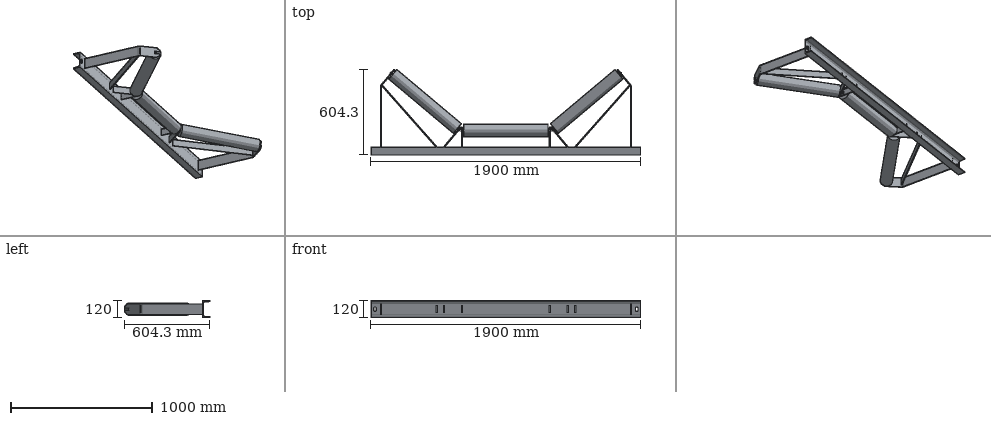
import cadquery as cq
import math


CHANNEL_LENGTH = 1900.0
CHANNEL_HEIGHT = 120.0
CHANNEL_DEPTH = 55.0
WEB_THICKNESS = 7.0
FLANGE_THICKNESS = 9.0
FLANGE_TAPER = 0.08
ROOT_RADIUS = 9.0
TOE_RADIUS = 4.5

SLOT_LENGTH = 30.0
SLOT_WIDTH = 17.0
SLOT_END_DISTANCE = 27.0

ROLLER_RADIUS = 44.6
ROLLER_LENGTH = 595.0
SHAFT_WIDTH = 17.0
SHAFT_HEIGHT = 11.0
SHAFT_OVERHANG = 4.0
CENTER_ROLLER_Y = 118.0
WING_X = 570.0
WING_Y = 323.0
WING_ANGLE = 40.0

BAR_THICKNESS = 8.0
POST_WIDTH = 76.0
INNER_BAR_WIDTH = 50.0
ROLLER_GAP = 8.5
POST_OUTER_X = 885.0
POST_BEND_RADIUS = 15.0
TAB_BEYOND_AXIS = 32.0
TAB_CHAMFER_LENGTH = 23.0
TAB_CHAMFER_WIDTH = 17.0
FORK_BEND_RADIUS = 2.8
BRACE_FOOT_X = 488.0
BRACE_ANGLE = 48.5

AXIS_DIR = cq.Vector(math.cos(math.radians(WING_ANGLE)), math.sin(math.radians(WING_ANGLE)))
FACE_DIR = cq.Vector(-AXIS_DIR.y, AXIS_DIR.x)
WING_CENTER = cq.Vector(WING_X, WING_Y)
BRACKET_INNER = ROLLER_LENGTH / 2 + ROLLER_GAP
BRACKET_OUTER = BRACKET_INNER + BAR_THICKNESS
BRACKET_MIDDLE = BRACKET_INNER + BAR_THICKNESS / 2
SHAFT_END = BRACKET_OUTER + SHAFT_OVERHANG


def wing_point(along, up=0.0):
    """Point at a distance along the wing roller axis and up along its end faces."""
    return WING_CENTER + AXIS_DIR * along + FACE_DIR * up


def face_point_at_x(along, x):
    """Point at the given x on the line that crosses the wing axis squarely at `along`."""
    start = wing_point(along)
    return start + FACE_DIR * ((x - start.x) / FACE_DIR.x)


def face_point_at_y(along, y):
    """Point at the given y on the line that crosses the wing axis squarely at `along`."""
    start = wing_point(along)
    return start + FACE_DIR * ((y - start.y) / FACE_DIR.y)


def bar_from_outline(points, width):
    """Plate with the given outline in the XY plane, centred on Z = 0."""
    outline = [(point.x, point.y) for point in points]
    return cq.Workplane("XY").polyline(outline).close().extrude(width / 2, both=True)


def round_corner(bar, corner, radius):
    """Round the edge that stands along Z through an outline corner."""
    selector = cq.selectors.NearestToPointSelector((corner.x, corner.y, 0))
    return bar.edges("|Z").edges(selector).fillet(radius)


def shaft_seat(shaft_center, direction):
    """Cutter for the slot in which a shaft lies, open toward the end of a bar."""
    reach = 76.0
    cut_depth = 4 * BAR_THICKNESS
    floor = shaft_center - direction * (SHAFT_HEIGHT / 2)
    plane = cq.Plane(origin=floor.toTuple(), xDir=(0, 0, 1), normal=direction.toTuple())
    return cq.Workplane(plane).rect(SHAFT_WIDTH, cut_depth).extrude(reach)


def make_channel():
    half_height = CHANNEL_HEIGHT / 2
    mid_depth = CHANNEL_DEPTH / 2
    toe_z = half_height - FLANGE_THICKNESS + FLANGE_TAPER * mid_depth
    root_z = half_height - FLANGE_THICKNESS - FLANGE_TAPER * (mid_depth - WEB_THICKNESS)
    outline = [
        (0, -half_height),
        (0, half_height),
        (-CHANNEL_DEPTH, half_height),
        (-CHANNEL_DEPTH, toe_z),
        (-WEB_THICKNESS, root_z),
        (-WEB_THICKNESS, -root_z),
        (-CHANNEL_DEPTH, -toe_z),
        (-CHANNEL_DEPTH, -half_height),
    ]
    channel = cq.Workplane("YZ").polyline(outline).close().extrude(CHANNEL_LENGTH / 2, both=True)
    for side in (1, -1):
        root = cq.selectors.NearestToPointSelector((0, -WEB_THICKNESS, side * root_z))
        channel = channel.edges("|X").edges(root).fillet(ROOT_RADIUS)
        toe = cq.selectors.NearestToPointSelector((0, -CHANNEL_DEPTH, side * toe_z))
        channel = channel.edges("|X").edges(toe).fillet(TOE_RADIUS)
    slot_x = CHANNEL_LENGTH / 2 - SLOT_END_DISTANCE
    slots = (
        cq.Workplane("XZ")
        .pushPoints([(-slot_x, 0), (slot_x, 0)])
        .slot2D(SLOT_LENGTH, SLOT_WIDTH, 90)
        .extrude(CHANNEL_DEPTH / 2, both=True)
    )
    return channel.cut(slots)


def make_roller(center, axis):
    """Roller with a flat shaft end on each side."""

    def end_plane(distance):
        end = center - axis * distance
        return cq.Plane(origin=end.toTuple(), xDir=(0, 0, 1), normal=axis.toTuple())

    shell = cq.Workplane(end_plane(ROLLER_LENGTH / 2)).circle(ROLLER_RADIUS).extrude(ROLLER_LENGTH)
    shaft = cq.Workplane(end_plane(SHAFT_END)).rect(SHAFT_WIDTH, SHAFT_HEIGHT).extrude(2 * SHAFT_END)
    return shell.union(shaft)


def make_post():
    """Outer bracket on the +X side: an upright whose top is bent in along the roller end."""
    post_inner_x = POST_OUTER_X - BAR_THICKNESS
    outer_bend = face_point_at_x(BRACKET_OUTER, POST_OUTER_X)
    inner_bend = face_point_at_x(BRACKET_INNER, post_inner_x)
    post = bar_from_outline(
        [
            cq.Vector(post_inner_x, 0),
            cq.Vector(POST_OUTER_X, 0),
            outer_bend,
            wing_point(BRACKET_OUTER, TAB_BEYOND_AXIS),
            wing_point(BRACKET_INNER, TAB_BEYOND_AXIS),
            inner_bend,
        ],
        POST_WIDTH,
    )
    post = round_corner(post, outer_bend, POST_BEND_RADIUS + BAR_THICKNESS)
    post = round_corner(post, inner_bend, POST_BEND_RADIUS)

    tip = wing_point(BRACKET_MIDDLE, TAB_BEYOND_AXIS)
    tip_plane = cq.Plane(origin=tip.toTuple(), xDir=FACE_DIR.toTuple(), normal=AXIS_DIR.toTuple())
    for side in (1, -1):
        edge = side * POST_WIDTH / 2
        bevel = [(0, edge), (-TAB_CHAMFER_LENGTH, edge), (0, edge - side * TAB_CHAMFER_WIDTH)]
        corner = cq.Workplane(tip_plane).polyline(bevel).close().extrude(BAR_THICKNESS, both=True)
        post = post.cut(corner)
    return post.cut(shaft_seat(wing_point(BRACKET_MIDDLE), FACE_DIR))


def make_fork():
    """Inner bracket on the +X side: a folded bar between the centre roller and the wing roller."""
    upright_left = cq.Vector(BRACKET_INNER, 0)
    upright_right = cq.Vector(BRACKET_OUTER, 0)
    top_outer = face_point_at_x(-BRACKET_INNER, BRACKET_INNER)
    top_inner = face_point_at_x(-BRACKET_OUTER, BRACKET_OUTER)
    fork = bar_from_outline(
        [
            upright_left,
            top_outer,
            face_point_at_y(-BRACKET_INNER, 0),
            face_point_at_y(-BRACKET_OUTER, 0),
            top_inner,
            upright_right,
        ],
        INNER_BAR_WIDTH,
    )
    fork = round_corner(fork, top_outer, FORK_BEND_RADIUS + BAR_THICKNESS)
    fork = round_corner(fork, top_inner, FORK_BEND_RADIUS)
    center_seat = shaft_seat(cq.Vector(BRACKET_MIDDLE, CENTER_ROLLER_Y), cq.Vector(0, 1))
    wing_seat = shaft_seat(wing_point(-BRACKET_MIDDLE), FACE_DIR)
    return fork.cut(center_seat).cut(wing_seat)


def make_brace(post):
    """Diagonal bar on the +X side, from the channel to the bend of the post, trimmed to fit it."""
    angle = math.radians(BRACE_ANGLE)
    direction = cq.Vector(math.cos(angle), math.sin(angle))
    half_foot = BAR_THICKNESS / 2 / math.sin(angle)
    inner_foot = cq.Vector(BRACE_FOOT_X - half_foot, 0)
    outer_foot = cq.Vector(BRACE_FOOT_X + half_foot, 0)

    def end_in_tab(foot):
        """Where the brace edge from this foot reaches the middle of the tab thickness."""
        start = (foot - WING_CENTER).dot(AXIS_DIR)
        return foot + direction * ((BRACKET_MIDDLE - start) / direction.dot(AXIS_DIR))

    outline = [inner_foot, outer_foot, end_in_tab(outer_foot), end_in_tab(inner_foot)]
    return bar_from_outline(outline, INNER_BAR_WIDTH).cut(post)


channel = make_channel()
center_roller = make_roller(cq.Vector(0, CENTER_ROLLER_Y), cq.Vector(1, 0))
bodies = [channel.solids().val(), center_roller.solids().val()]

wing_roller = make_roller(WING_CENTER, AXIS_DIR)
post = make_post()
fork = make_fork()
brace = make_brace(post)
for body in (wing_roller, post, fork, brace):
    bodies.append(body.solids().val())
    bodies.append(body.mirror("YZ").solids().val())

result = cq.Compound.makeCompound(bodies)